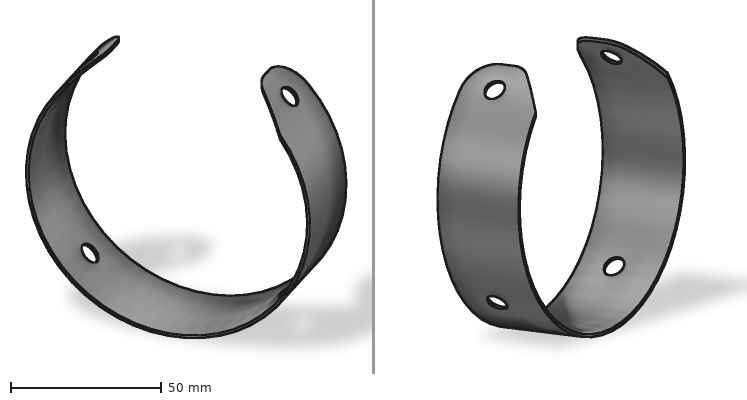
import cadquery as cq

outer_radius = 51.0
thickness = 1.0
width = 32.0
inner_radius = outer_radius - thickness
half_width = width / 2

tip_x = 27.4
corner_radius = 10.0
front_chamfer = 12.8

hole_diameter = 7.3
upper_hole_y = 3.1
lower_hole_y = 2.0
hole_angle = 45.0


def make_ring():
    """Full ring, centred on the origin with its axis along Y."""
    return (
        cq.Workplane("XZ")
        .circle(outer_radius)
        .circle(inner_radius)
        .extrude(half_width, both=True)
    )


def make_gap():
    """Vertical cutter that opens the ring at the top and shapes both ends."""
    outline = (
        cq.Workplane("XY")
        .moveTo(tip_x, half_width)
        .lineTo(outer_radius, half_width)
        .lineTo(outer_radius, -half_width)
        .lineTo(tip_x + front_chamfer, -half_width)
        .lineTo(tip_x, -half_width + front_chamfer)
        .close()
        .extrude(outer_radius)
    )
    back_edge = cq.selectors.NearestToPointSelector((tip_x, half_width, outer_radius / 2))
    blend_edge = cq.selectors.NearestToPointSelector(
        (tip_x, -half_width + front_chamfer, outer_radius / 2)
    )
    end_shape = (
        outline.edges(back_edge).fillet(corner_radius)
        .edges(blend_edge).fillet(corner_radius)
    )
    upper_half = cq.Workplane("XY").box(
        2 * outer_radius, width, outer_radius, centered=(True, True, False)
    )
    return upper_half.cut(end_shape).cut(end_shape.mirror("YZ"))


def make_hole(y, angle):
    """Radial drill at the given angle from +X toward +Z."""
    return (
        cq.Workplane("YZ")
        .center(y, 0)
        .circle(hole_diameter / 2)
        .extrude(outer_radius + thickness)
        .rotate((0, 0, 0), (0, 1, 0), -angle)
    )


result = make_ring().cut(make_gap())
for side_angle in (hole_angle, 180 - hole_angle):
    result = result.cut(make_hole(upper_hole_y, side_angle))
    result = result.cut(make_hole(lower_hole_y, -side_angle))